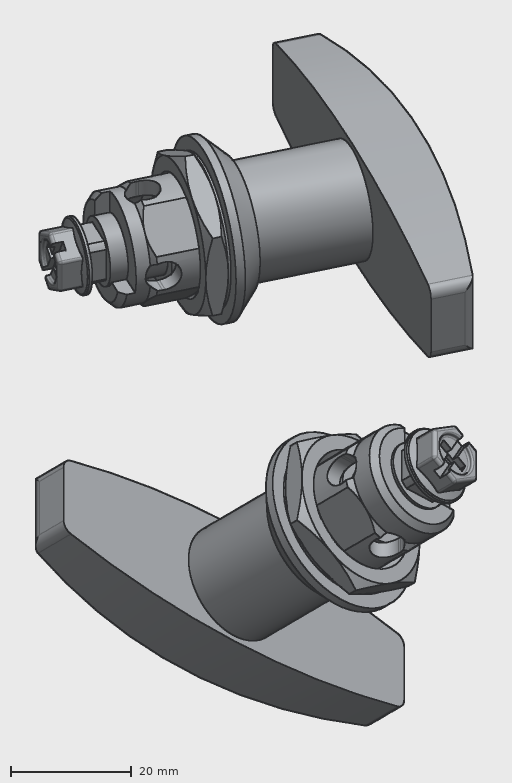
import cadquery as cq
import math


GRIP_LENGTH = 78.0
GRIP_HEIGHT = 11.9
GRIP_END_HEIGHT = 7.6
GRIP_HALF_WIDTH = 11.5
GRIP_END_HALF_WIDTH = 6.95
GRIP_CORNER_RADIUS = 2.0
CAP_DIAMETER = 15.8
CAP_TOP = 12.5

COLLAR_TOP = 20.4
COLLAR_BOTTOM = 26.1
NUT_BOTTOM = 30.6
ROTOR_SHOULDER = 34.55
CHAMFER_START = 38.1
CAVITY_END = 40.25
HOUSING_END = 44.2
BOSS_END = 44.7
SHANK_END = 48.1
SCREW_END = 53.5

BARREL_DIAMETER = 20.8
ROTOR_DIAMETER = 15.9
BOSS_DIAMETER = 12.0
SHANK_SIZE = 8.0
SHANK_CORNER_DIAMETER = 10.0

COLLAR_DIAMETER = 32.0
COLLAR_CONE = 4.05
BODY_DIAMETER = 21.7
RING_DIAMETER = 19.8
RING_CHAMFER = 1.2
SIDE_HOLE_WIDTH = 5.5
SIDE_HOLE_LENGTH = 6.0
SIDE_HOLE_STATION = 36.9
STOP_RECESS_DEPTH = 2.65
STOP_RECESS_OFFSET = 3.0

NUT_WIDTH = 27.0
NUT_FACE_HEIGHT = 0.5
NUT_CHAMFER_ANGLE = 30.0

FLANGE_DIAMETER = 13.4
FLANGE_RIM = 0.55
FLANGE_EDGE = 0.2
FLANGE_HEIGHT = 1.3
HEAD_WIDTH = 10.0
HEAD_EDGE_RADIUS = 0.6
HEAD_END_RADIUS = 0.6
RECESS_DIAMETER = 7.4
RECESS_RADIUS = 0.3
RECESS_DEPTH = 0.8
SLOT_WIDTH = 1.6
SLOT_DEPTH = 1.95
CROSS_LENGTH = 5.8
CROSS_WIDTH = 1.55
CROSS_DEPTH = 2.7
SLOT_ANGLE = 60.0

HEX_HALF_ANGLE = math.radians(30)


def section_at(y):
    """Workplane facing -Y at height y, with local X along X and local Y along Z."""
    return cq.Workplane("XZ", origin=(0, y, 0))


def disc(diameter, top, bottom):
    """Cylinder around the axis between two distances below the grip."""
    return section_at(-top).circle(diameter / 2).extrude(bottom - top)


def turned(profile):
    """Solid of revolution from (radius, y) points."""
    return cq.Workplane("XY").polyline(profile).close().revolve(360, (0, 0, 0), (0, 1, 0))


def hexagon(width, top, bottom):
    """Hexagonal prism with its corners toward +Z and -Z."""
    corner_diameter = width / math.cos(HEX_HALF_ANGLE)
    prism = section_at(-top).polygon(6, corner_diameter).extrude(bottom - top)
    return prism.rotate((0, 0, 0), (0, 1, 0), 30)


def make_grip():
    half_length = GRIP_LENGTH / 2
    side_profile = (
        cq.Workplane("XY")
        .moveTo(-half_length, 0)
        .lineTo(-half_length, GRIP_END_HEIGHT)
        .threePointArc((0, GRIP_HEIGHT), (half_length, GRIP_END_HEIGHT))
        .lineTo(half_length, 0)
        .close()
        .extrude(GRIP_HALF_WIDTH, both=True)
        .edges("|Z")
        .edges(">Y")
        .fillet(GRIP_CORNER_RADIUS)
    )
    plan_profile = (
        section_at(0)
        .moveTo(-half_length, -GRIP_END_HALF_WIDTH)
        .lineTo(-half_length, GRIP_END_HALF_WIDTH)
        .threePointArc((0, GRIP_HALF_WIDTH), (half_length, GRIP_END_HALF_WIDTH))
        .lineTo(half_length, -GRIP_END_HALF_WIDTH)
        .threePointArc((0, -GRIP_HALF_WIDTH), (-half_length, -GRIP_END_HALF_WIDTH))
        .close()
        .extrude(-GRIP_HEIGHT)
        .edges("|Y")
        .fillet(GRIP_CORNER_RADIUS)
    )
    return side_profile.intersect(plan_profile)


def make_handle():
    cap = disc(CAP_DIAMETER, -CAP_TOP, 0)
    barrel = disc(BARREL_DIAMETER, 0, COLLAR_TOP)
    rotor = disc(ROTOR_DIAMETER, COLLAR_TOP, ROTOR_SHOULDER)
    boss = disc(BOSS_DIAMETER, ROTOR_SHOULDER, BOSS_END)
    square = section_at(-BOSS_END).rect(SHANK_SIZE, SHANK_SIZE).extrude(SHANK_END - BOSS_END)
    shank = square.intersect(disc(SHANK_CORNER_DIAMETER, BOSS_END, SHANK_END))
    return make_grip().union(cap).union(barrel).union(rotor).union(boss).union(shank)


def make_housing_blank():
    collar_radius = COLLAR_DIAMETER / 2
    body_radius = BODY_DIAMETER / 2
    ring_radius = RING_DIAMETER / 2
    step = body_radius - ring_radius
    return turned([
        (0, -COLLAR_TOP),
        (collar_radius - COLLAR_CONE, -COLLAR_TOP),
        (collar_radius, -COLLAR_TOP - COLLAR_CONE),
        (collar_radius, -COLLAR_BOTTOM),
        (ring_radius, -COLLAR_BOTTOM),
        (ring_radius, -NUT_BOTTOM + step),
        (body_radius, -NUT_BOTTOM),
        (body_radius, -CHAMFER_START),
        (ring_radius, -CHAMFER_START - step),
        (ring_radius, -HOUSING_END + RING_CHAMFER),
        (ring_radius - RING_CHAMFER, -HOUSING_END),
        (0, -HOUSING_END),
    ])


def make_housing():
    housing = make_housing_blank()

    flat_zone = (
        section_at(-COLLAR_BOTTOM)
        .rect(RING_DIAMETER, RING_DIAMETER)
        .extrude(HOUSING_END - COLLAR_BOTTOM)
        .rotate((0, 0, 0), (0, 1, 0), 45)
    )
    housing = housing.intersect(disc(COLLAR_DIAMETER, COLLAR_TOP, COLLAR_BOTTOM).union(flat_zone))

    housing = housing.cut(disc(ROTOR_DIAMETER, COLLAR_TOP, CAVITY_END))
    housing = housing.cut(disc(BOSS_DIAMETER, CAVITY_END, HOUSING_END))

    for plane, slot_angle in (("XY", 90), ("YZ", 0)):
        hole = (
            cq.Workplane(plane, origin=(0, -SIDE_HOLE_STATION, 0))
            .slot2D(SIDE_HOLE_LENGTH, SIDE_HOLE_WIDTH, slot_angle)
            .extrude(BODY_DIAMETER, both=True)
        )
        housing = housing.cut(hole)

    recess = (
        section_at(-HOUSING_END + STOP_RECESS_DEPTH)
        .rect(BODY_DIAMETER, BODY_DIAMETER, centered=False)
        .extrude(STOP_RECESS_DEPTH)
        .translate((-STOP_RECESS_OFFSET, 0, -STOP_RECESS_OFFSET))
    )
    return housing.cut(recess)


def make_nut():
    face_radius = NUT_WIDTH / 2
    corner_radius = face_radius / math.cos(HEX_HALF_ANGLE)
    chamfer = (corner_radius - face_radius) * math.tan(math.radians(NUT_CHAMFER_ANGLE))
    hex_top = COLLAR_BOTTOM + NUT_FACE_HEIGHT
    envelope = turned([
        (0, -hex_top),
        (face_radius, -hex_top),
        (corner_radius, -hex_top - chamfer),
        (corner_radius, -NUT_BOTTOM + chamfer),
        (face_radius, -NUT_BOTTOM),
        (0, -NUT_BOTTOM),
    ])
    nut = hexagon(NUT_WIDTH, hex_top, NUT_BOTTOM).intersect(envelope)
    nut = nut.union(disc(NUT_WIDTH, COLLAR_BOTTOM, hex_top))

    bore_radius = RING_DIAMETER / 2
    mouth_radius = BODY_DIAMETER / 2
    bore = turned([
        (0, -COLLAR_BOTTOM),
        (bore_radius, -COLLAR_BOTTOM),
        (bore_radius, -NUT_BOTTOM + mouth_radius - bore_radius),
        (mouth_radius, -NUT_BOTTOM),
        (0, -NUT_BOTTOM),
    ])
    return nut.cut(bore)


def make_screw():
    rim_radius = FLANGE_DIAMETER / 2
    flange = turned([
        (0, -SHANK_END),
        (rim_radius, -SHANK_END),
        (rim_radius, -SHANK_END - FLANGE_RIM),
        (rim_radius - FLANGE_EDGE, -SHANK_END - FLANGE_RIM - FLANGE_EDGE),
        (HEAD_WIDTH / 2, -SHANK_END - FLANGE_HEIGHT),
        (0, -SHANK_END - FLANGE_HEIGHT),
    ])
    head = (
        hexagon(HEAD_WIDTH, SHANK_END, SCREW_END)
        .edges("|Y")
        .fillet(HEAD_EDGE_RADIUS)
        .faces("<Y")
        .edges()
        .fillet(HEAD_END_RADIUS)
    )
    screw = flange.union(head)

    recess = disc(RECESS_DIAMETER, SCREW_END - RECESS_DEPTH, SCREW_END)
    recess = recess.faces(">Y").edges().fillet(RECESS_RADIUS)
    screw = screw.cut(recess)
    screw = screw.faces("<Y").edges("%CIRCLE").fillet(RECESS_RADIUS)

    slot = section_at(-SCREW_END + SLOT_DEPTH).rect(FLANGE_DIAMETER, SLOT_WIDTH).extrude(SLOT_DEPTH)
    cross = section_at(-SCREW_END + CROSS_DEPTH).rect(CROSS_WIDTH, CROSS_LENGTH).extrude(CROSS_DEPTH)
    slots = slot.union(cross).rotate((0, 0, 0), (0, 1, 0), -SLOT_ANGLE)
    return screw.cut(slots)


handle = make_handle()
housing = make_housing()
nut = make_nut()
screw = make_screw()

result = cq.Compound.makeCompound([handle.val(), housing.val(), nut.val(), screw.val()])